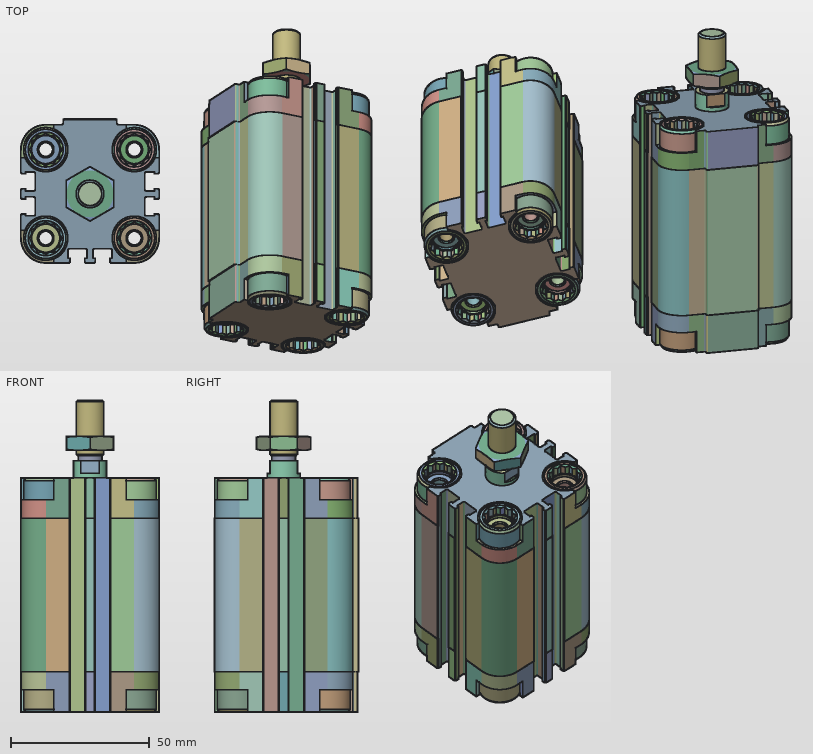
import cadquery as cq
import math

total_height = 112.5

housing_height = 84.5
tube_width = 50.0
tube_corner_radius = 9.1
cap_height = 14.5
cap_inset = 0.06
pad_width = 19.5
tube_pad_rise = 2.0
cap_pad_rise = 1.7
pad_edge_radius = 0.5
pad_foot_radius = 0.5

slot_depth = 5.2
lip_thickness = 1.8
mouth_inner, mouth_outer = 1.9, 7.2
groove_inner, groove_outer = 1.1, 7.9
groove_corner_radius = 0.5
mouth_edge_radius = 0.3

boss_pitch = 32.0
boss_diameter = 16.0
boss_recess_depth = 8.0
boss_recess_start = 13.0
boss_bevel_width = 0.7
boss_bevel_depth = 1.0

socket_flats = 10.1
socket_depth = 3.9
socket_mouth_diameter = 12.6
socket_mouth_slope = 30.0
seat_depth = 5.2
hole_diameter = 5.0
hole_mouth_diameter = 6.0

rod_diameter = 12.0
rod_top = 90.7
flats_distance = 10.0
flats_bottom = 86.1
neck_diameter = 8.7
thread_diameter = 10.0
thread_bottom = 92.4
thread_end_diameter = 8.4
thread_chamfer = 0.7

nut_flats = 17.0
nut_bottom = 94.4
nut_thickness = 5.1
nut_bevel_diameter = 16.9
nut_bevel_slope = 15.0

tube_side = tube_width / 2
boss_radius = boss_diameter / 2
boss_centres = [(sx * boss_pitch / 2, sy * boss_pitch / 2) for sx in (-1, 1) for sy in (-1, 1)]
hexagon_ratio = 1 / math.cos(math.radians(30))


def cylinder(diameter, bottom, top):
    return cq.Workplane("XY").workplane(offset=bottom).circle(diameter / 2).extrude(top - bottom)


def hexagon(flats, bottom, top, turn):
    """Hexagonal prism on the Z axis; turn is the angle of its first corner from X."""
    prism = cq.Workplane("XY").workplane(offset=bottom).polygon(6, flats * hexagon_ratio)
    return prism.extrude(top - bottom).rotate((0, 0, 0), (0, 0, 1), turn)


def mirrored_at_bottom(feature):
    """The same feature at the other end of the housing."""
    return feature.mirror("XY", (0, 0, housing_height / 2))


def profile_section(side, corner_radius, pad_rise, bottom, top):
    """Rounded square bar with a filleted pad on its +Y side and T-slots in the others."""
    height = top - bottom
    plane = cq.Workplane("XY").workplane(offset=bottom)
    bar = plane.rect(2 * side, 2 * side).extrude(height).edges("|Z").fillet(corner_radius)
    pad_side = pad_width / 2
    pad_top = tube_side + pad_rise
    half_pad = (
        plane.moveTo(0, 0)
        .lineTo(pad_side + pad_foot_radius, 0)
        .lineTo(pad_side + pad_foot_radius, side)
        .radiusArc((pad_side, side + pad_foot_radius), pad_foot_radius)
        .lineTo(pad_side, pad_top - pad_edge_radius)
        .radiusArc((pad_side - pad_edge_radius, pad_top), -pad_edge_radius)
        .lineTo(0, pad_top)
        .close()
        .extrude(height)
    )
    section = bar.union(half_pad).union(half_pad.mirror("YZ"))
    for turn in (0, 180, 270):
        section = section.cut(slot_pair(side).rotate((0, 0, 0), (0, 0, 1), turn))
    return section


def slot_pair(side):
    """Two T-slots in the +X side of a section, with rounded mouth edges, over the full housing height."""
    floor = tube_side - slot_depth
    lip = tube_side - lip_thickness
    slot = (
        cq.Workplane("XY")
        .moveTo(floor, groove_inner + groove_corner_radius)
        .radiusArc((floor + groove_corner_radius, groove_inner), -groove_corner_radius)
        .lineTo(lip, groove_inner)
        .lineTo(lip, mouth_inner)
        .lineTo(side - mouth_edge_radius, mouth_inner)
        .radiusArc((side, mouth_inner - mouth_edge_radius), -mouth_edge_radius)
        .lineTo(side, mouth_outer + mouth_edge_radius)
        .radiusArc((side - mouth_edge_radius, mouth_outer), -mouth_edge_radius)
        .lineTo(lip, mouth_outer)
        .lineTo(lip, groove_outer)
        .lineTo(floor + groove_corner_radius, groove_outer)
        .radiusArc((floor, groove_outer - groove_corner_radius), -groove_corner_radius)
        .close()
        .extrude(housing_height)
    )
    return slot.union(slot.mirror("XZ"))


def boss_recess(x, y):
    """Cut that frees a bevelled boss from the corner at (x, y) of the top face."""
    bottom = housing_height - boss_recess_depth
    bevel_bottom = housing_height - boss_bevel_depth
    middle = boss_recess_start + tube_side
    corner = (
        cq.Workplane("XY")
        .workplane(offset=bottom)
        .center(math.copysign(middle, x), math.copysign(middle, y))
        .rect(2 * tube_side, 2 * tube_side)
        .extrude(boss_recess_depth)
    )
    bore = cylinder(boss_diameter, bevel_bottom, housing_height).translate((x, y, 0))
    boss = (
        cq.Workplane("XZ")
        .moveTo(0, bottom)
        .lineTo(boss_radius, bottom)
        .lineTo(boss_radius, bevel_bottom)
        .lineTo(boss_radius - boss_bevel_width, housing_height)
        .lineTo(0, housing_height)
        .close()
        .revolve(360, (0, 0, 0), (0, 1, 0))
        .translate((x, y, 0))
    )
    return corner.union(bore).cut(boss)


def socket():
    """Twelve-point socket with a conical mouth, a round seat and a countersunk hole to mid-height."""
    top = housing_height
    seat = top - seat_depth
    seat_radius = socket_flats / 2
    mouth_radius = socket_mouth_diameter / 2
    mouth_depth = mouth_radius * math.tan(math.radians(socket_mouth_slope))
    hole_radius = hole_diameter / 2
    hole_mouth_radius = hole_mouth_diameter / 2
    stepped_bore = (
        cq.Workplane("XZ")
        .moveTo(0, top / 2)
        .lineTo(hole_radius, top / 2)
        .lineTo(hole_radius, seat - (hole_mouth_radius - hole_radius))
        .lineTo(hole_mouth_radius, seat)
        .lineTo(seat_radius, seat)
        .lineTo(seat_radius, top)
        .lineTo(0, top)
        .close()
        .revolve(360, (0, 0, 0), (0, 1, 0))
    )
    mouth = (
        cq.Workplane("XZ")
        .polyline([(0, top), (mouth_radius, top), (0, top - mouth_depth)])
        .close()
        .revolve(360, (0, 0, 0), (0, 1, 0))
    )
    star = hexagon(socket_flats, top - socket_depth, top, 0)
    star = star.union(hexagon(socket_flats, top - socket_depth, top, 30))
    return stepped_bore.union(star).union(mouth)


def make_housing():
    cap_side = tube_side - cap_inset
    cap_corner_radius = tube_corner_radius - cap_inset
    top_cap_bottom = housing_height - cap_height
    body = profile_section(tube_side, tube_corner_radius, tube_pad_rise, cap_height, top_cap_bottom)
    body = body.union(profile_section(cap_side, cap_corner_radius, cap_pad_rise, 0, cap_height))
    body = body.union(
        profile_section(cap_side, cap_corner_radius, cap_pad_rise, top_cap_bottom, housing_height)
    )
    for x, y in boss_centres:
        recess = boss_recess(x, y)
        bore = socket().translate((x, y, 0))
        for feature in (recess, bore):
            body = body.cut(feature).cut(mirrored_at_bottom(feature))
    return body


def make_rod():
    """Rod standing on the top face of the housing, with flats facing -Y and +Y."""
    rod = cylinder(rod_diameter, housing_height, rod_top)
    for side in (-1, 1):
        flat = (
            cq.Workplane("XY")
            .workplane(offset=flats_bottom)
            .center(0, side * rod_diameter / 2)
            .rect(rod_diameter, rod_diameter - flats_distance)
            .extrude(rod_top - flats_bottom)
        )
        rod = rod.cut(flat)
    thread_radius = thread_diameter / 2
    thread_end_radius = thread_end_diameter / 2
    neck_radius = neck_diameter / 2
    threaded_end = (
        cq.Workplane("XZ")
        .moveTo(0, rod_top)
        .lineTo(neck_radius, rod_top)
        .lineTo(neck_radius, thread_bottom)
        .lineTo(thread_radius, thread_bottom + thread_radius - neck_radius)
        .lineTo(thread_radius, total_height - thread_chamfer)
        .lineTo(thread_end_radius, total_height)
        .lineTo(0, total_height)
        .close()
        .revolve(360, (0, 0, 0), (0, 1, 0))
    )
    return rod.union(threaded_end)


def make_nut():
    """Hexagon nut with flats facing -X and +X, bevelled on both faces."""
    top = nut_bottom + nut_thickness
    corner_radius = nut_flats * hexagon_ratio / 2
    bevel_radius = nut_bevel_diameter / 2
    bevel_depth = (corner_radius - bevel_radius) * math.tan(math.radians(nut_bevel_slope))
    turned_blank = (
        cq.Workplane("XZ")
        .moveTo(0, nut_bottom)
        .lineTo(bevel_radius, nut_bottom)
        .lineTo(corner_radius, nut_bottom + bevel_depth)
        .lineTo(corner_radius, top - bevel_depth)
        .lineTo(bevel_radius, top)
        .lineTo(0, top)
        .close()
        .revolve(360, (0, 0, 0), (0, 1, 0))
    )
    nut = hexagon(nut_flats, nut_bottom, top, 30).intersect(turned_blank)
    return nut.cut(cylinder(thread_diameter, nut_bottom, top))


housing = make_housing()
rod = make_rod()
nut = make_nut()
result = cq.Compound.makeCompound([housing.val(), rod.val(), nut.val()])